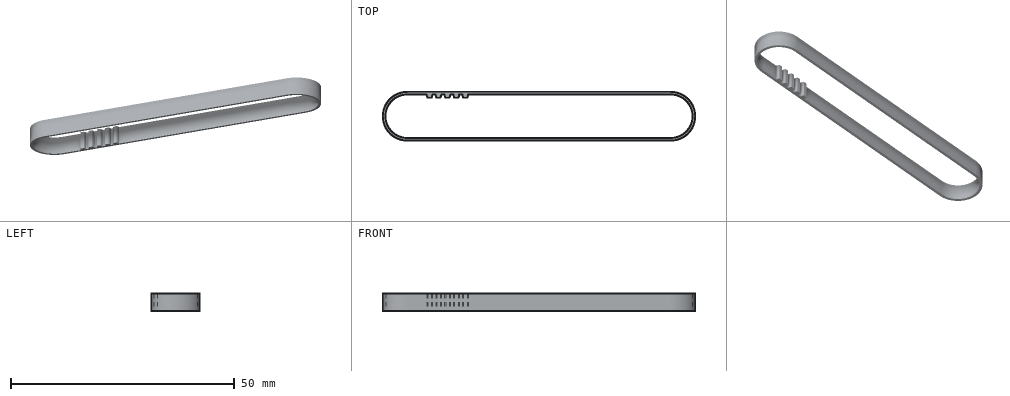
import cadquery as cq
import math

belt_width = 4.0
straight_length = 59.0
outer_radius = 5.48
backing_thickness = 0.64
inner_radius = outer_radius - backing_thickness

tooth_count = 5
tooth_pitch = 2.0
first_tooth_offset = 5.0
tooth_height = 0.75
root_half_width = 0.65
tip_half_width = 0.41
flank_radius = 1.3
tooth_overlap = backing_thickness / 2


def racetrack(end_radius):
    """Solid with straight sides and half-round ends, centred on the origin in X and Y."""
    total_length = straight_length + 2 * end_radius
    return cq.Workplane("XY").slot2D(total_length, 2 * end_radius).extrude(belt_width)


def belt_tooth(center_x):
    """Flat-tipped tooth with bulging flanks, pointing toward -Y."""
    flank_rise = root_half_width - tip_half_width
    flank_chord = math.hypot(flank_rise, tooth_height)
    flank_bulge = flank_radius - math.sqrt(flank_radius**2 - (flank_chord / 2) ** 2)
    flank_mid_x = (root_half_width + tip_half_width) / 2 + flank_bulge * tooth_height / flank_chord
    flank_mid_y = inner_radius - tooth_height / 2 - flank_bulge * flank_rise / flank_chord
    tip_y = inner_radius - tooth_height
    buried_y = inner_radius + tooth_overlap
    return (
        cq.Workplane("XY", origin=(center_x, 0, 0))
        .moveTo(-root_half_width, buried_y)
        .lineTo(-root_half_width, inner_radius)
        .threePointArc((-flank_mid_x, flank_mid_y), (-tip_half_width, tip_y))
        .lineTo(tip_half_width, tip_y)
        .threePointArc((flank_mid_x, flank_mid_y), (root_half_width, inner_radius))
        .lineTo(root_half_width, buried_y)
        .close()
        .extrude(belt_width)
    )


result = racetrack(outer_radius).cut(racetrack(inner_radius))

first_tooth_x = -straight_length / 2 + first_tooth_offset
for index in range(tooth_count):
    result = result.union(belt_tooth(first_tooth_x + index * tooth_pitch))